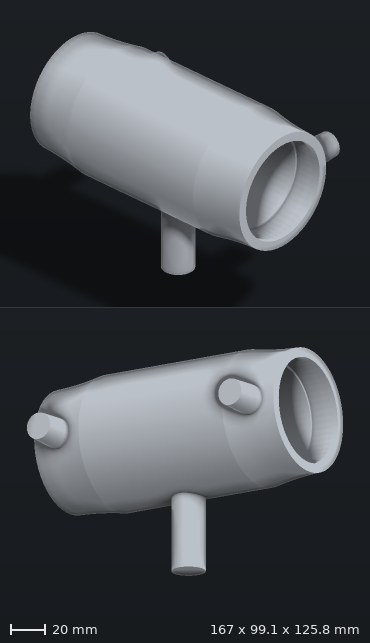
import cadquery as cq

length = 167.0
body_radius = 82.0 / 2
end_radius = 74.3 / 2
end_length = 33.4
neck_hollow = 0.7

bore_diameter = 59.8
socket_diameter = 63.0
socket_depth = 17.7

branch_diameter = 20.0
branch_tip_z = -84.8

terminal_tip_y = 58.1
terminal_root_y = 33.4
terminal_tip_diameter = 16.0
terminal_root_diameter = 18.7
terminal_end_distance = 16.7

half_length = length / 2
shoulder_x = half_length - end_length
terminal_x = half_length - terminal_end_distance


def make_body():
    mid_x = shoulder_x + end_length / 2
    mid_radius = (body_radius + end_radius) / 2 - neck_hollow
    return (
        cq.Workplane("XY")
        .moveTo(-half_length, 0)
        .lineTo(-half_length, end_radius)
        .threePointArc((-mid_x, mid_radius), (-shoulder_x, body_radius))
        .lineTo(shoulder_x, body_radius)
        .threePointArc((mid_x, mid_radius), (half_length, end_radius))
        .lineTo(half_length, 0)
        .close()
        .revolve(360, (0, 0, 0), (1, 0, 0))
    )


def make_branch():
    return cq.Workplane("XY").circle(branch_diameter / 2).extrude(branch_tip_z)


def make_terminal(x):
    """Truncated cone rooted in the sleeve wall."""
    return (
        cq.Workplane("XZ", origin=(x, terminal_root_y, 0))
        .circle(terminal_root_diameter / 2)
        .workplane(offset=terminal_root_y - terminal_tip_y)
        .circle(terminal_tip_diameter / 2)
        .loft(ruled=True)
    )


def make_bore():
    bore = cq.Workplane("YZ", origin=(-half_length, 0, 0)).circle(bore_diameter / 2).extrude(length)
    for start_x in (-half_length, half_length - socket_depth):
        socket = cq.Workplane("YZ", origin=(start_x, 0, 0)).circle(socket_diameter / 2).extrude(socket_depth)
        bore = bore.union(socket)
    return bore


result = make_body().union(make_branch())
for x in (-terminal_x, terminal_x):
    result = result.union(make_terminal(x))
result = result.cut(make_bore())